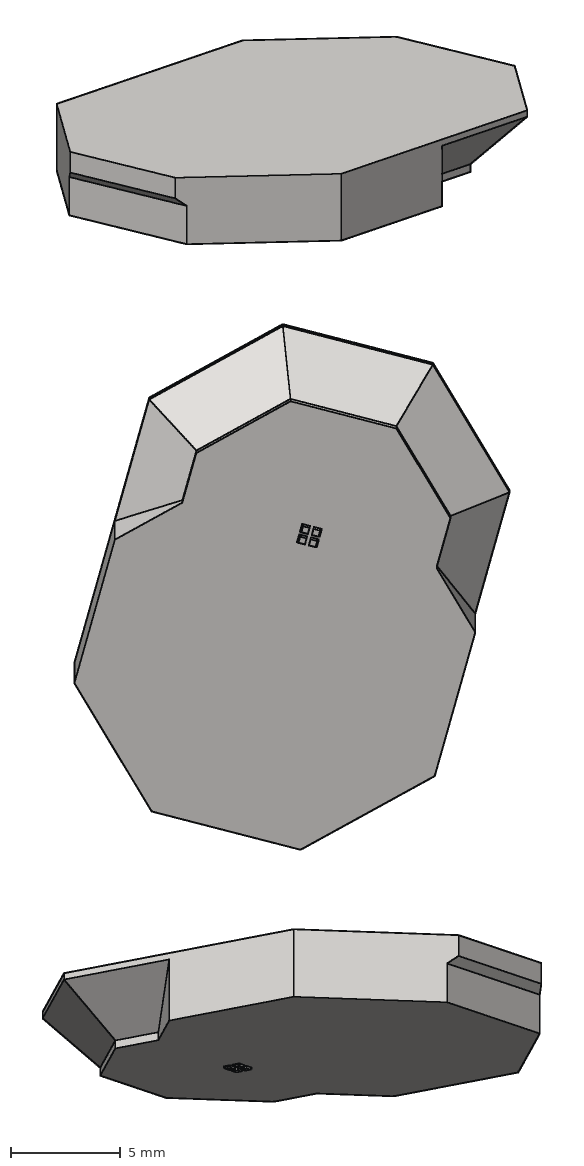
import cadquery as cq
import math

length = 23.4
width = 17.0
front_corner = 5.35
back_corner = 4.95

body_height = 3.18
rim_height = 0.3
base_height = 0.37
undercut = body_height - rim_height - base_height

shoulder_y = 0.75
back_start_y = 0.0

step_depth = 0.37
lip_height = 0.98

foot_height = 0.12
foot_size = 0.37
foot_bevel = 0.07
foot_gap_x = 0.19
foot_gap_y = 0.15
feet_center_y = 3.25

half_width = width / 2
half_length = length / 2


def back_outline(inset):
    """Rear part of the outline, moved inward by inset and ending inside the front block."""
    side = half_width - inset
    back = half_length - inset
    corner_shift = inset * math.tan(math.radians(22.5))
    right = [
        (side, back_start_y),
        (side, half_length - back_corner - corner_shift),
        (half_width - back_corner - corner_shift, back),
    ]
    left = [(-x, y) for x, y in reversed(right)]
    return right + left


def make_rim():
    return (
        cq.Workplane("XY")
        .workplane(offset=body_height - rim_height)
        .polyline(back_outline(0))
        .close()
        .extrude(rim_height)
    )


def make_sloped_back():
    base = cq.Workplane("XY").polyline(back_outline(undercut)).close().extrude(base_height)
    slope = (
        cq.Workplane("XY")
        .workplane(offset=base_height)
        .polyline(back_outline(undercut))
        .close()
        .workplane(offset=undercut)
        .polyline(back_outline(0))
        .close()
        .loft(ruled=True)
    )
    return base.union(slope)


def make_front_block():
    right = [
        (half_width - front_corner, -half_length),
        (half_width, -half_length + front_corner),
        (half_width, shoulder_y),
        (half_width - undercut, shoulder_y + undercut),
    ]
    left = [(-x, y) for x, y in reversed(right)]
    return cq.Workplane("XY").polyline(right + left).close().extrude(body_height)


def make_front_step():
    lip_bottom = body_height - lip_height
    profile = [
        (-half_length, 0),
        (-half_length + step_depth, 0),
        (-half_length + step_depth, lip_bottom - step_depth),
        (-half_length, lip_bottom),
    ]
    return cq.Workplane("YZ").polyline(profile).close().extrude(half_width, both=True)


def make_foot(side, row):
    """One square foot, bevelled on its outer side and its rear edge."""
    x = side * (foot_gap_x + foot_size) / 2
    y = feet_center_y + row * (foot_gap_y + foot_size) / 2
    outer_face = ">X" if side > 0 else "<X"
    foot = cq.Workplane("XY").box(foot_size, foot_size, foot_height, centered=(True, True, False))
    foot = foot.edges(f"<Z and ({outer_face} or >Y)").chamfer(foot_bevel)
    return foot.translate((x, y, -foot_height))


result = make_rim().union(make_sloped_back()).union(make_front_block()).cut(make_front_step())
for side in (-1, 1):
    for row in (-1, 1):
        result = result.union(make_foot(side, row))